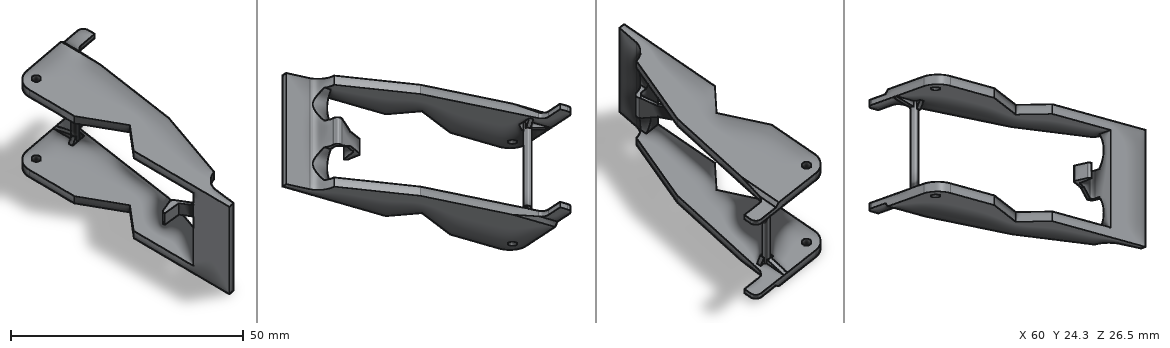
import cadquery as cq
import math

length = 60.0
half_height = 13.25
plate_thickness = 2.2
inner_half = half_height - plate_thickness

tang_top = 22.8
tang_width = 3.5
tang_radius = 1.7
heel_radius = 4.0
notch_start = 16.7
notch_peak = (27.65, 5.5)
notch_end = 33.3
shoulder = (32.7, 12.55)
tang_root = 16.75
plate_tip = (50.7, 6.1)
sweep_end = (54.35, 2.15)
sweep_radius = 4.55
end_thickness = 1.5

tang_recess = 0.9
recess_start = 15.65

hole_diameter = 2.05
hole_center = (3.05, 3.6)

rod_diameter = 1.8
rod_center = (5.7, 13.5)
rib_width = 1.1
front_rib_height = 1.5
side_rib_height = 1.75
side_rib_reach = 2.0

wall_start = 50.0
scallop_edge = 3.8
scallop_bottom = 2.35

catch_half_width = 3.2
arm_half_width = 1.75
arm_angle = math.radians(28.4)
arm_thickness = 0.8
catch_wall_outer = 50.75
taper_start = (45.65, 4.85)
taper_length = 3.85
hook_x = 41.5
hook_tip_outer = 42.5
hook_tip_inner = 43.2
hook_inner_x = 43.55
hook_bottom = -1.5
hook_bend_radius = 0.8
hook_tip_radius = 0.55
catch_outer_radius = 1.0
catch_inner_radius = 0.65


def sweep_to_end(outline):
    """Continue an outline along the concave sweep and down the thin end to Y = 0."""
    return (
        outline.radiusArc(sweep_end, -sweep_radius)
        .lineTo(length, end_thickness)
        .lineTo(length, 0)
    )


def upper_plate():
    outline = (
        cq.Workplane("XY", origin=(0, 0, inner_half))
        .moveTo(0, 0)
        .lineTo(0, tang_top)
        .lineTo(tang_width, tang_top)
        .lineTo(tang_width, tang_root)
        .lineTo(*shoulder)
        .lineTo(*plate_tip)
    )
    plate = (
        sweep_to_end(outline)
        .lineTo(notch_end, 0)
        .lineTo(*notch_peak)
        .lineTo(notch_start, 0)
        .close()
        .extrude(plate_thickness)
    )

    def round_corner(body, x, y, radius):
        corner = cq.selectors.NearestToPointSelector((x, y, inner_half + plate_thickness / 2))
        return body.edges("|Z").edges(corner).fillet(radius)

    plate = round_corner(plate, 0, 0, heel_radius)
    plate = round_corner(plate, 0, tang_top, tang_radius)
    plate = round_corner(plate, tang_width, tang_root, tang_radius)

    recess = (
        cq.Workplane("YZ")
        .moveTo(recess_start, half_height)
        .lineTo(recess_start + tang_recess, half_height - tang_recess)
        .lineTo(tang_top, half_height - tang_recess)
        .lineTo(tang_top, half_height)
        .close()
        .extrude(length)
    )
    hole = (
        cq.Workplane("XY", origin=(0, 0, inner_half))
        .center(*hole_center)
        .circle(hole_diameter / 2)
        .extrude(plate_thickness)
    )
    return plate.cut(recess).cut(hole)


def upper_ribs():
    """Triangular ribs bracing the rod against the inner face of the upper plate."""
    rod_x, rod_y = rod_center
    rod_radius = rod_diameter / 2
    front_rib = (
        cq.Workplane("XZ", origin=(0, rod_y + rib_width / 2, 0))
        .moveTo(0, inner_half)
        .lineTo(rod_x, inner_half - front_rib_height)
        .lineTo(rod_x, inner_half)
        .close()
        .extrude(rib_width)
    )
    side_ribs = (
        cq.Workplane("YZ", origin=(rod_x + rod_radius - rib_width, 0, 0))
        .moveTo(rod_y - side_rib_reach, inner_half)
        .lineTo(rod_y - rod_radius, inner_half - side_rib_height)
        .lineTo(rod_y + rod_radius, inner_half - side_rib_height)
        .lineTo(rod_y + side_rib_reach, inner_half)
        .close()
        .extrude(rib_width)
    )
    gap = (
        cq.Workplane("XY", origin=(rod_x, rod_y, inner_half - side_rib_height))
        .rect(rod_diameter, rod_diameter / 2)
        .extrude(side_rib_height)
    )
    return front_rib.union(side_ribs.cut(gap))


def rod():
    return (
        cq.Workplane("XY", origin=(*rod_center, -inner_half))
        .circle(rod_diameter / 2)
        .extrude(2 * inner_half)
    )


def end_wall():
    outline = (
        cq.Workplane("XY", origin=(0, 0, -inner_half))
        .moveTo(wall_start, 0)
        .lineTo(wall_start, plate_tip[1])
        .lineTo(*plate_tip)
    )
    wall = sweep_to_end(outline).close().extrude(2 * inner_half)
    window_middle = (catch_half_width + inner_half) / 2
    for side in (1, -1):
        window = (
            cq.Workplane("YZ", origin=(wall_start, 0, 0))
            .moveTo(scallop_edge, side * catch_half_width)
            .threePointArc((scallop_bottom, side * window_middle), (scallop_edge, side * inner_half))
            .lineTo(tang_top, side * inner_half)
            .lineTo(tang_top, side * catch_half_width)
            .close()
            .extrude(length - wall_start)
        )
        wall = wall.cut(window)
    return wall


def arm_outer_y(x):
    return taper_start[1] + (x - taper_start[0]) * math.tan(arm_angle)


def arm_inner_y(x):
    return arm_outer_y(x) - arm_thickness / math.cos(arm_angle)


def spring_catch():
    hook_bend = (hook_x, arm_outer_y(hook_x))
    outer_bend = (catch_wall_outer, arm_outer_y(catch_wall_outer))
    inner_bend = (wall_start, arm_inner_y(wall_start))
    tip_outer = (hook_tip_outer, hook_bottom)
    catch = (
        cq.Workplane("XY", origin=(0, 0, -catch_half_width))
        .polyline([
            hook_bend,
            outer_bend,
            (catch_wall_outer, scallop_edge),
            (wall_start, scallop_edge),
            inner_bend,
            (hook_inner_x, arm_inner_y(hook_inner_x)),
            (hook_tip_inner, hook_bottom),
            tip_outer,
        ])
        .close()
        .extrude(2 * catch_half_width)
    )
    bends = [
        (hook_bend, hook_bend_radius),
        (outer_bend, catch_outer_radius),
        (inner_bend, catch_inner_radius),
        (tip_outer, hook_tip_radius),
    ]
    for corner, radius in bends:
        edge = cq.selectors.NearestToPointSelector((*corner, 0))
        catch = catch.edges("|Z").edges(edge).fillet(radius)

    arm_plane = cq.Plane(
        origin=(*taper_start, 0),
        xDir=(math.cos(arm_angle), math.sin(arm_angle), 0),
        normal=(-math.sin(arm_angle), math.cos(arm_angle), 0),
    )
    for side in (1, -1):
        trim = (
            cq.Workplane(arm_plane)
            .moveTo(taper_length, side * catch_half_width)
            .lineTo(0, side * arm_half_width)
            .lineTo(-length, side * arm_half_width)
            .lineTo(-length, side * catch_half_width)
            .close()
            .extrude(length, both=True)
        )
        catch = catch.cut(trim)
    return catch


upper_half = upper_plate().union(upper_ribs())
lower_half = upper_half.mirror("XY")
result = upper_half.union(lower_half).union(rod()).union(end_wall()).union(spring_catch())